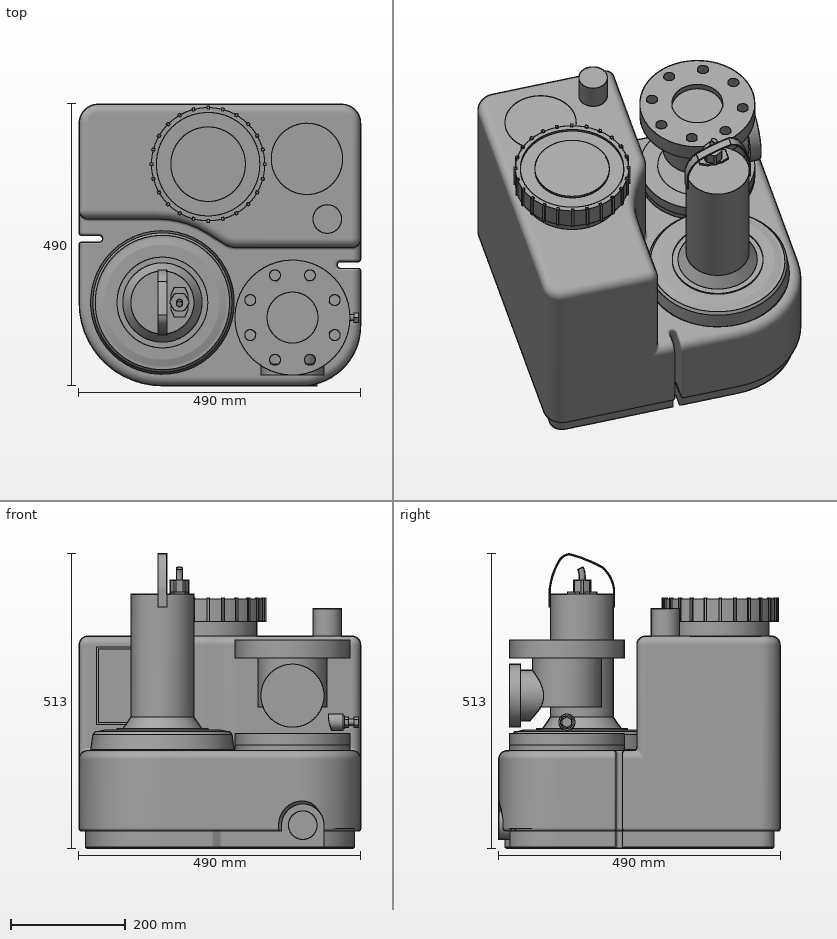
import cadquery as cq
import math

tank_side = 490.0
half_side = tank_side / 2
back_corner_radius = 33.5
pump_corner_radius = 144.5
outlet_corner_radius = 104.0

base_inset = 11.0
base_height = 30.5
base_chamfer = 2.5
base_front_y = base_inset - half_side
deck_z = 170.5
high_start_z = 102.5
tank_top_z = 369.5
edge_radius = 15.5
small_edge_radius = 4.5
wall_foot_radius = 5.0

wall_left_y = 45.0
wall_right_y = -4.5
wall_bend_start_x = -108.0
wall_bend_angle = math.radians(32)
wall_hollow_radius = 159.0
wall_nose_radius = 41.5

panel_left_x = -214.5
panel_right_x = -118.0
panel_bottom_z = 215.5
panel_top_z = 350.5
panel_groove_width = 3.5
panel_groove_depth = 1.5

slot_width = 11.5
slot_end_x = 204.5
left_slot_y = 11.0
right_slot_y = -35.0
slot_rim_radius = 4.5

base_step_start_x = -12.5
base_step_end_x = 1.5
base_setback_y = -225.5
base_step_radius = 5.0

port_diameter = 50.0
port_x = 144.0
port_z = 40.5
port_boss_radius = 37.0
port_arch_flare = 5.0

lid_x = -20.5
lid_y = 140.5
neck_diameter = 170.0
lid_bottom_z = 395.0
lid_body_top_z = 434.0
lid_rib_top_z = 436.0
lid_body_radius = 98.5
lid_rib_radius = 101.0
lid_rib_width = 4.0
lid_rib_count = 24
lid_recess_diameter = 180.0
lid_disc_diameter = 130.0
lid_recess_depth = 4.0

blank_diameter = 124.0
blank_x = 151.5
blank_y = 150.0
blank_depth = 0.5

vent_diameter = 50.0
vent_x = 187.0
vent_y = 45.0
vent_top_z = 417.0

pump_x = -100.0
pump_y = -100.0
motor_radius = 110.0 / 2
motor_top_z = 442.5
motor_foot_radius = 138.0 / 2
motor_foot_z = 208.5
motor_cone_top_z = 228.5
pump_step_radius = 79.0
pump_cover_radius = 200.0 / 2
pump_cover_z = 206.5
pump_ring_inner_radius = 112.5
pump_ring_outer_radius = 117.0
pump_ring_top_z = 203.0
pump_shoulder_radius = 121.0
pump_shoulder_z = 198.5
pump_skirt_radius = 246.0 / 2
pump_flange_radius = 250.0 / 2
pump_lip_z = 172.5

strap_width = 16.0
strap_thickness = 2.0
strap_bottom_z = 420.0
strap_shoulder_z = 451.5
strap_top_z = 513.0

gland_x = -70.5
gland_y = -99.5
gland_plate_length = 51.5
gland_plate_width = 30.0
gland_plate_end_width = 18.5
gland_plate_side_length = 25.5
gland_plate_height = 4.0
gland_nut_flats = 30.5
gland_nut_diameter = 33.0
gland_nut_top_z = 467.0
cable_diameter = 11.0
cable_straight = 6.5
cable_bend_radius = 33.0
cable_bend_angle = math.radians(25)

outlet_x = 126.0
outlet_y = -126.0
flange_diameter = 200.0
boss_top_z = 179.5
lower_flange_top_z = 200.0
upper_flange_bottom_z = 331.0
upper_flange_top_z = 363.0
bore_diameter = 89.0
bore_depth = 11.5
bolt_hole_diameter = 19.0
bolt_circle_diameter = 159.0
bolt_count = 8
outlet_neck_radius = 120.0 / 2
outlet_neck_bottom_z = 246.0
seat_radius = 138.0 / 2
side_pipe_diameter = 89.0
side_pipe_z = 266.0
side_flange_diameter = 110.0
side_flange_thickness = 19.5

bleed_z = 219.5
bleed_body_diameter = 28.0
bleed_body_end_x = 214.5
bleed_collar_diameter = 22.0
bleed_collar_end_x = 217.0
bleed_nut_flats = 16.5
bleed_inner_nut_end_x = 224.0
bleed_stem_diameter = 11.0
bleed_outer_nut_start_x = 233.0
bleed_outer_nut_end_x = 241.0


def cylinder(x, y, bottom_z, top_z, diameter):
    """Upright cylinder between two heights."""
    return cq.Workplane("XY").workplane(offset=bottom_z).center(x, y).circle(diameter / 2).extrude(top_z - bottom_z)


def footprint(inset, bottom_z, height):
    """Prism on the tank footprint, with its rounded corners, moved inwards by an inset."""
    half = half_side - inset
    block = cq.Workplane("XY").box(2 * half, 2 * half, height, centered=(True, True, False))
    block = block.edges("|Z and >Y").fillet(back_corner_radius - inset)
    block = block.edges("|Z and <X and <Y").fillet(pump_corner_radius - inset)
    block = block.edges("|Z and >X and <Y").fillet(outlet_corner_radius - inset)
    return block.translate((0, 0, bottom_z))


def rotated(point_x, point_y, radius, angle):
    """Point at a radius from a centre, the angle measured from +Y towards +X."""
    return point_x + radius * math.sin(angle), point_y + radius * math.cos(angle)


def make_high_block():
    """Back part of the tank, bounded at the front by the S-shaped step wall."""
    hollow_y = wall_left_y - wall_hollow_radius
    hollow_mid = rotated(wall_bend_start_x, hollow_y, wall_hollow_radius, wall_bend_angle / 2)
    slope_start = rotated(wall_bend_start_x, hollow_y, wall_hollow_radius, wall_bend_angle)
    nose_y = wall_right_y + wall_nose_radius
    slope_end_y = nose_y - wall_nose_radius * math.cos(wall_bend_angle)
    slope_end_x = slope_start[0] + (slope_start[1] - slope_end_y) / math.tan(wall_bend_angle)
    nose_x = slope_end_x + wall_nose_radius * math.sin(wall_bend_angle)
    nose_mid = rotated(nose_x, nose_y, -wall_nose_radius, wall_bend_angle / 2)

    block = (
        cq.Workplane("XY")
        .workplane(offset=high_start_z)
        .moveTo(-half_side, half_side)
        .lineTo(-half_side, wall_left_y)
        .lineTo(wall_bend_start_x, wall_left_y)
        .threePointArc(hollow_mid, slope_start)
        .lineTo(slope_end_x, slope_end_y)
        .threePointArc(nose_mid, (nose_x, wall_right_y))
        .lineTo(half_side, wall_right_y)
        .lineTo(half_side, half_side)
        .close()
        .extrude(tank_top_z - high_start_z)
    )
    for side in ("<X", ">X"):
        block = block.edges("|Z").edges(side).edges("<Y").fillet(edge_radius)
    block = block.edges("|Z and >Y").fillet(back_corner_radius)
    return block.faces(">Z").edges().fillet(edge_radius)


def cut_slots(block, rim_x, rim_z):
    """Open slots through both sides of a block.

    The slot edges whose centres lie farther out than rim_x and higher than rim_z are rounded.
    """
    length = 2 * (half_side - slot_end_x)
    for side, slot_y in ((-1, left_slot_y), (1, right_slot_y)):
        slot = cq.Workplane("XY").center(side * half_side, slot_y).slot2D(length, slot_width).extrude(deck_z)
        rim = cq.selectors.BoxSelector(
            (side * rim_x, slot_y - slot_width, rim_z),
            (side * tank_side, slot_y + slot_width, tank_top_z),
        )
        block = block.cut(slot).edges(rim).fillet(slot_rim_radius)
    return block


def make_panel_groove():
    """Rectangular groove that frames the panel in the step wall."""
    width = panel_right_x - panel_left_x
    height = panel_top_z - panel_bottom_z
    groove = (
        cq.Workplane("XZ", origin=(0, wall_left_y, 0))
        .center((panel_left_x + panel_right_x) / 2, (panel_bottom_z + panel_top_z) / 2)
        .rect(width, height)
        .rect(width - 2 * panel_groove_width, height - 2 * panel_groove_width)
        .extrude(-panel_groove_depth)
    )
    return groove


def arch_prism(radius, start_y, end_y):
    """Round-topped prism around the drain port, reaching down to the underside of the base."""
    arch = (
        cq.Workplane("XZ", origin=(port_x, start_y, 0))
        .moveTo(-radius, 0)
        .lineTo(-radius, port_z)
        .threePointArc((0, port_z + radius), (radius, port_z))
        .lineTo(radius, 0)
        .close()
        .extrude(start_y - end_y)
    )
    return arch


def make_base():
    """Inset base, its front set back to the right of a sloped step."""
    setback = (
        cq.Workplane("XY")
        .moveTo(base_step_start_x, base_front_y)
        .lineTo(base_step_end_x, base_setback_y)
        .lineTo(half_side, base_setback_y)
        .lineTo(half_side, base_front_y)
        .close()
        .extrude(base_height)
    )
    base = footprint(base_inset, 0, base_height).cut(setback)
    for step_x in (base_step_start_x, base_step_end_x):
        corner = cq.selectors.NearestToPointSelector((step_x, base_front_y, base_height / 2))
        base = base.edges("|Z").edges(corner).fillet(base_step_radius)
    base = base.faces("<Z").edges().chamfer(base_chamfer)
    return cut_slots(base, half_side - base_inset - base_chamfer, base_chamfer)


def make_port_recess():
    """Arched recess in the tank front, its outer edge flared."""
    recess = arch_prism(port_boss_radius, base_setback_y, -half_side)
    flare = arch_prism(port_boss_radius + port_arch_flare, -half_side + port_arch_flare, -half_side)
    flare = flare.faces(">Y").edges("not <Z").chamfer(port_arch_flare * 0.999)
    return recess.union(flare)


def make_tank():
    """Tank with its base, lid neck, discharge boss and spigot."""
    low = footprint(0, base_height, deck_z - base_height).faces(">Z").edges().fillet(edge_radius)
    low = low.faces("<Z").edges().fillet(small_edge_radius)
    low = cut_slots(low, slot_end_x, deck_z - edge_radius)
    tank = low.union(make_high_block())
    wall_foot = cq.selectors.BoxSelector(
        (-half_side + edge_radius, wall_right_y - wall_foot_radius, deck_z - wall_foot_radius),
        (half_side - edge_radius, wall_left_y + wall_foot_radius, deck_z + wall_foot_radius),
    )
    tank = tank.edges(wall_foot).fillet(wall_foot_radius)
    tank = tank.cut(make_panel_groove())
    tank = tank.cut(make_port_recess())
    tank = tank.union(make_base())
    tank = tank.union(cylinder(lid_x, lid_y, tank_top_z - edge_radius, lid_bottom_z, neck_diameter))
    tank = tank.union(cylinder(outlet_x, outlet_y, deck_z - edge_radius, boss_top_z, flange_diameter))
    tank = tank.union(cylinder(outlet_x, outlet_y, boss_top_z, lower_flange_top_z, 2 * seat_radius))
    blank = cylinder(blank_x, blank_y, tank_top_z - blank_depth, tank_top_z, blank_diameter)
    return tank.cut(blank)


def make_drain_port():
    """Drain stub on the flat face inside the arched recess."""
    length = half_side + base_setback_y
    return cq.Workplane("XZ", origin=(port_x, base_setback_y, port_z)).circle(port_diameter / 2).extrude(length)


def make_vent_pipe():
    """Vent stub on the tank top."""
    return cylinder(vent_x, vent_y, tank_top_z, vent_top_z, vent_diameter)


def make_lid():
    """Screw lid with grip ribs, a recessed top and a raised centre disc."""
    lid = cylinder(lid_x, lid_y, lid_bottom_z, lid_body_top_z, 2 * lid_body_radius)
    rib_depth = 2 * (lid_rib_radius - lid_body_radius)
    rib_height = lid_rib_top_z - lid_bottom_z
    rib_centre = lid_rib_radius - rib_depth / 2
    for index in range(lid_rib_count):
        rib = cq.Workplane("XY").box(rib_depth, lid_rib_width, rib_height, centered=(True, True, False))
        rib = rib.translate((rib_centre, 0, 0)).rotate((0, 0, 0), (0, 0, 1), index * 360 / lid_rib_count)
        lid = lid.union(rib.translate((lid_x, lid_y, lid_bottom_z)))
    recess_z = lid_body_top_z - lid_recess_depth
    recess = cylinder(lid_x, lid_y, recess_z, lid_body_top_z, lid_recess_diameter)
    disc = cylinder(lid_x, lid_y, recess_z, lid_body_top_z, lid_disc_diameter)
    return lid.cut(recess.cut(disc))


def make_pump():
    """Turned pump: flange, cover, conical foot and motor housing."""
    profile = [
        (0, deck_z),
        (pump_skirt_radius, deck_z),
        (pump_flange_radius, pump_lip_z),
        (pump_shoulder_radius, pump_shoulder_z),
        (pump_ring_outer_radius, pump_ring_top_z),
        (pump_ring_inner_radius, pump_ring_top_z),
        (pump_cover_radius, pump_cover_z),
        (pump_step_radius, pump_cover_z),
        (pump_step_radius, motor_foot_z),
        (motor_foot_radius, motor_foot_z),
        (motor_radius, motor_cone_top_z),
        (motor_radius, motor_top_z),
        (0, motor_top_z),
    ]
    pump = cq.Workplane("XZ").polyline(profile).close().revolve(360, (0, 0, 0), (0, 1, 0))
    return pump.translate((pump_x, pump_y, 0))


def make_strap():
    """Bent flat strap whose two legs lie against the motor housing."""
    outer = motor_radius + strap_thickness
    trim_z = strap_bottom_z - strap_thickness
    loop = (
        cq.Workplane("YZ")
        .moveTo(outer, trim_z)
        .lineTo(outer, strap_shoulder_z)
        .threePointArc((50.5, 472.0), (37.0, 489.5))
        .threePointArc((6.5, 504.0), (-22.0, strap_top_z))
        .threePointArc((-33.0, 509.0), (-40.5, 501.0))
        .threePointArc((-50.5, 480.5), (-outer, strap_shoulder_z))
        .lineTo(-outer, trim_z)
        .close()
    )
    strap = loop.extrude(strap_width / 2, both=True)
    inside = cq.Workplane("YZ").add(loop.val()).toPending().offset2D(-strap_thickness).extrude(strap_width / 2, both=True)
    below = cq.Workplane("XY").box(strap_width, 2 * outer, strap_thickness)
    strap = strap.cut(inside).cut(below.translate((0, 0, strap_bottom_z - strap_thickness / 2)))
    return strap.translate((pump_x, pump_y, 0))


def make_cable_gland():
    """Gland plate with a round-cornered hexagon nut and the bent end of the cable."""
    plate_half = gland_plate_length / 2
    side_half = gland_plate_side_length / 2
    plate = (
        cq.Workplane("XY")
        .polyline(
            [
                (gland_plate_end_width / 2, -plate_half),
                (gland_plate_width / 2, -side_half),
                (gland_plate_width / 2, side_half),
                (gland_plate_end_width / 2, plate_half),
                (-gland_plate_end_width / 2, plate_half),
                (-gland_plate_width / 2, side_half),
                (-gland_plate_width / 2, -side_half),
                (-gland_plate_end_width / 2, -plate_half),
            ]
        )
        .close()
        .extrude(gland_plate_height)
    )
    nut_height = gland_nut_top_z - motor_top_z
    nut = cq.Workplane("XY").polygon(6, gland_nut_flats, circumscribed=True).extrude(nut_height)
    nut = nut.rotate((0, 0, 0), (0, 0, 1), 90)
    nut = nut.intersect(cq.Workplane("XY").circle(gland_nut_diameter / 2).extrude(nut_height))
    straight_top = nut_height + cable_straight
    bend_mid = rotated(-cable_bend_radius, straight_top, cable_bend_radius, math.pi / 2 - cable_bend_angle / 2)
    bend_end = rotated(-cable_bend_radius, straight_top, cable_bend_radius, math.pi / 2 - cable_bend_angle)
    path = (
        cq.Workplane("YZ")
        .lineTo(0, straight_top)
        .threePointArc(bend_mid, bend_end)
    )
    cable = cq.Workplane("XY").circle(cable_diameter / 2).sweep(path)
    return plate.union(nut).union(cable).translate((gland_x, gland_y, motor_top_z))


def make_seat_cone():
    """Cone that continues the discharge neck down to its seat on the lower flange."""
    cone = (
        cq.Workplane("XZ")
        .polyline(
            [
                (0, lower_flange_top_z),
                (seat_radius, lower_flange_top_z),
                (outlet_neck_radius, outlet_neck_bottom_z),
                (outlet_neck_radius, upper_flange_bottom_z),
                (0, upper_flange_bottom_z),
            ]
        )
        .close()
        .revolve(360, (0, 0, 0), (0, 1, 0))
    )
    return cone.translate((outlet_x, outlet_y, 0))


def make_discharge():
    """Bolted upper flange on a neck, with a flanged side pipe towards the front."""
    bolt_holes = (
        cq.Workplane("XY", origin=(outlet_x, outlet_y, upper_flange_bottom_z))
        .polarArray(bolt_circle_diameter / 2, 180 / bolt_count, 360, bolt_count)
        .circle(bolt_hole_diameter / 2)
        .extrude(upper_flange_top_z - upper_flange_bottom_z)
    )
    bore = cylinder(outlet_x, outlet_y, upper_flange_top_z - bore_depth, upper_flange_top_z, bore_diameter)
    flange = cylinder(outlet_x, outlet_y, upper_flange_bottom_z, upper_flange_top_z, flange_diameter)
    neck = cylinder(outlet_x, outlet_y, outlet_neck_bottom_z, upper_flange_bottom_z, 2 * outlet_neck_radius)

    pipe_end_y = outlet_y - flange_diameter / 2
    axis = cq.Workplane("XZ", origin=(outlet_x, outlet_y, side_pipe_z))
    pipe = axis.circle(side_pipe_diameter / 2).extrude(outlet_y - pipe_end_y)
    pipe = pipe.cut(make_seat_cone())
    side_flange = (
        cq.Workplane("XZ", origin=(outlet_x, pipe_end_y + side_flange_thickness, side_pipe_z))
        .circle(side_flange_diameter / 2)
        .extrude(side_flange_thickness)
    )
    return flange.cut(bolt_holes).cut(bore).union(neck).union(pipe).union(side_flange)


def make_lower_flange():
    """Flange ring on the discharge boss, around its spigot."""
    flange = cylinder(outlet_x, outlet_y, boss_top_z, lower_flange_top_z, flange_diameter)
    return flange.cut(cylinder(outlet_x, outlet_y, boss_top_z, lower_flange_top_z, 2 * seat_radius))


def make_bleed_valve():
    """Small turned valve along X, its inner end shaped to the seat cone."""

    def along_x(start_x, end_x):
        return cq.Workplane("YZ", origin=(start_x, outlet_y, bleed_z)), end_x - start_x

    def disc(start_x, end_x, diameter):
        plane, length = along_x(start_x, end_x)
        return plane.circle(diameter / 2).extrude(length)

    def hexagon(start_x, end_x):
        plane, length = along_x(start_x, end_x)
        return plane.polygon(6, bleed_nut_flats, circumscribed=True).extrude(length)

    valve = disc(outlet_x, bleed_body_end_x, bleed_body_diameter).cut(make_seat_cone())
    valve = valve.union(disc(bleed_body_end_x, bleed_collar_end_x, bleed_collar_diameter))
    valve = valve.union(hexagon(bleed_collar_end_x, bleed_inner_nut_end_x))
    valve = valve.union(disc(bleed_inner_nut_end_x, bleed_outer_nut_start_x, bleed_stem_diameter))
    return valve.union(hexagon(bleed_outer_nut_start_x, bleed_outer_nut_end_x))


tank = make_tank()
drain_port = make_drain_port()
vent_pipe = make_vent_pipe()
lid = make_lid()
pump = make_pump()
strap = make_strap()
cable_gland = make_cable_gland()
discharge = make_discharge()
lower_flange = make_lower_flange()
bleed_valve = make_bleed_valve()

result = cq.Compound.makeCompound(
    [
        tank.solids().val(),
        drain_port.solids().val(),
        vent_pipe.solids().val(),
        lid.solids().val(),
        pump.solids().val(),
        strap.solids().val(),
        cable_gland.solids().val(),
        discharge.solids().val(),
        lower_flange.solids().val(),
        bleed_valve.solids().val(),
    ]
)